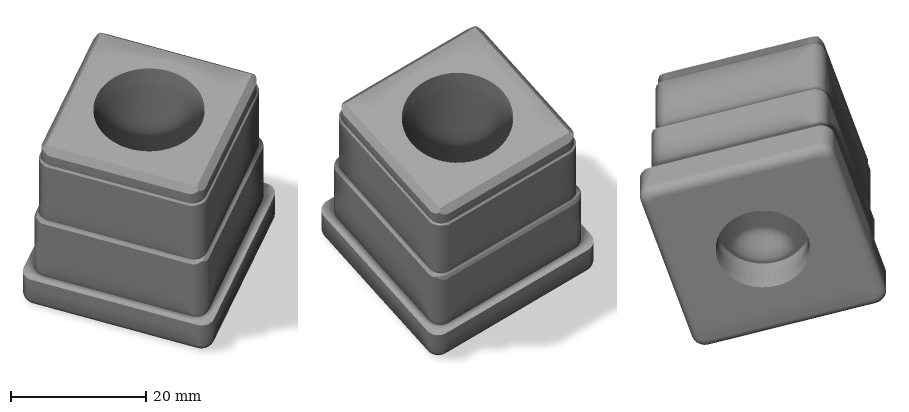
import cadquery as cq

total_height = 33.0
flange_height = 6.0
sleeve_height = 12.0
cap_height = total_height - flange_height - 2 * sleeve_height

flange_side = 30.0
lower_chamfer = 0.5
middle_chamfer = 0.28
cap_chamfer = 1.0
cap_side = 25.75
middle_side = cap_side + 2 * middle_chamfer
lower_side = middle_side + 2 * lower_chamfer
corner_radius = 2.0
flange_bottom_fillet = 1.5

side_bevel = 0.35
edge_tolerance = 0.015

bore_diameter = 16.5
flange_bore_diameter = 14.0


def rounded_prism(side, height):
    """Square prism standing on Z = 0 with rounded vertical edges."""
    return (
        cq.Workplane("XY")
        .box(side, side, height, centered=(True, True, False))
        .edges("|Z")
        .fillet(corner_radius)
    )


def chamfered_prism(side, height, chamfer):
    """Rounded prism whose straight top chamfers meet in mitred corners."""
    mitred_block = (
        cq.Workplane("XY")
        .box(side, side, height, centered=(True, True, False))
        .faces(">Z")
        .edges()
        .chamfer(chamfer)
    )
    return mitred_block.intersect(rounded_prism(side, height))


def bored(body, diameter, base):
    """Cut the through bore and lift the body to its base height."""
    cutter = cq.Workplane("XY").circle(diameter / 2).extrude(total_height)
    return body.cut(cutter).translate((0, 0, base)).solids()


def make_flange():
    body = rounded_prism(flange_side, flange_height)
    body = body.faces("<Z").edges().fillet(flange_bottom_fillet)
    return bored(body, flange_bore_diameter, 0)


def conical_corner_cutter():
    """Waste outside a 45 degree cone at the lower sleeve's (+X, +Y) corner."""
    arc_centre = lower_side / 2 - corner_radius
    base_z = sleeve_height - lower_chamfer
    corner_block = (
        cq.Workplane("XY")
        .box(corner_radius, corner_radius, lower_chamfer, centered=False)
        .translate((arc_centre, arc_centre, base_z))
    )
    cone = cq.Solid.makeCone(
        corner_radius,
        corner_radius - lower_chamfer,
        lower_chamfer,
        pnt=cq.Vector(arc_centre, arc_centre, base_z),
    )
    return corner_block.cut(cq.Workplane(cone))


def make_lower_sleeve():
    body = chamfered_prism(lower_side, sleeve_height, lower_chamfer)
    edge_x = -lower_side / 2
    edge_z = sleeve_height - lower_chamfer
    chamfer_edge = cq.selectors.BoxSelector(
        (edge_x - edge_tolerance, -edge_tolerance, edge_z - edge_tolerance),
        (edge_x + edge_tolerance, edge_tolerance, edge_z + edge_tolerance),
    )
    body = body.edges(chamfer_edge).chamfer(side_bevel)
    body = body.cut(conical_corner_cutter())
    return bored(body, bore_diameter, flange_height)


def make_middle_sleeve():
    body = chamfered_prism(middle_side, sleeve_height, middle_chamfer)
    return bored(body, bore_diameter, flange_height + sleeve_height)


def make_cap():
    body = chamfered_prism(cap_side, cap_height, cap_chamfer)
    return bored(body, bore_diameter, total_height - cap_height)


flange = make_flange()
lower_sleeve = make_lower_sleeve()
middle_sleeve = make_middle_sleeve()
cap = make_cap()

result = cq.Compound.makeCompound(
    [flange.val(), lower_sleeve.val(), middle_sleeve.val(), cap.val()]
)